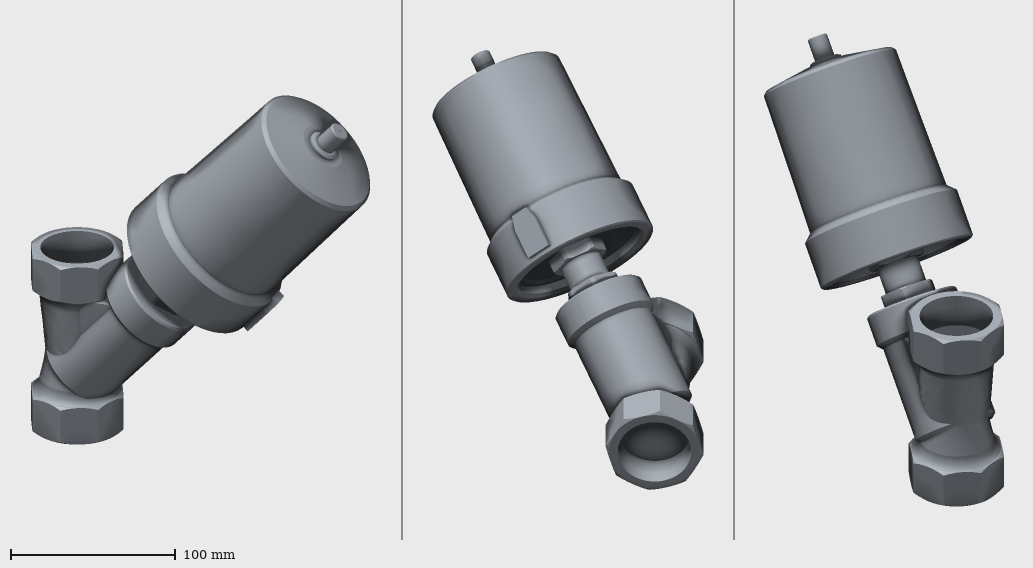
import cadquery as cq
import math


tilt = 42.0
axis_height = 38.3
tilt_rad = math.radians(tilt)
tilted_plane = cq.Plane(
    origin=(0, 0, axis_height),
    xDir=(math.cos(tilt_rad), 0, -math.sin(tilt_rad)),
    normal=(math.sin(tilt_rad), 0, math.cos(tilt_rad)),
)

valve_length = 120.0
port_sides = 8
port_across_corners = 60.0
port_height = 24.8
port_bore_dia = 44.8
port_bore_depth = 21.2
port_flat_radius = port_across_corners / 2 * math.cos(math.pi / port_sides)
port_chamfer_height = 1.7

barrel_end_radius = 22.9
barrel_waist_radius = 19.3
barrel_waist_height = 53.3
barrel_sag = 0.5
shoulder_radius = 22.1
shoulder_shift = shoulder_radius - barrel_waist_radius
flare_radius = 27.1
flare_height = 8.3
flare_sag = 1.2
lower_flare_end = port_height + flare_height
upper_flare_start = valve_length - lower_flare_end

neck_radius = 25.7
neck_start = -0.7
neck_end_chamfer = 2.4
rim_radius = 28.8
rim_cone_start = 60.5
rim_cone_end = 63.5
rim_top = 76.5
web_half_thickness = 21.0
web_reach = 28.5

bonnet_thickness = 6.0
bonnet_chamfer = 1.2
bonnet_top = rim_top + bonnet_thickness
bonnet_hex_top = 91.0

hex_across_flats = 31.7
hex_round_dia = 35.2
hex_chamfer = 1.0

base_radius = 49.0
base_bottom = 107.4
base_shoulder = 137.1
base_top = 142.0
base_edge_chamfer = 1.0
recess_mouth_radius = 42.5
recess_radius = 40.7
recess_mouth_depth = 2.0
recess_depth = 6.7
inner_recess_mouth_radius = 37.0
inner_recess_floor_radius = 34.8
inner_recess_depth = 1.2
recess_floor = base_bottom + recess_depth
inner_recess_floor = recess_floor + inner_recess_depth

pad_bottom = 110.7
pad_bend = 129.7
pad_top = 138.8
pad_half_width = 7.9
pad_tip_half_width = 5.5
pad_face = 52.4

tube_dia = 26.0

cover_bottom_radius = 44.0
cover_top_radius = 42.5
cover_edge_radius = 40.5
cover_edge_bottom = 230.2
cover_edge_top = 232.4
crown_radius = 15.0
crown_height = 236.9
collar_radius = 20.0 / 2
collar_top_radius = 16.0 / 2
collar_shoulder = 238.5
collar_top = 239.5

indicator_dia = 12.4
indicator_top = 253.8
indicator_chamfer = 0.7
indicator_dimple_dia = 1.5
indicator_dimple_depth = 1.2
indicator_seat_depth = 4.8
indicator_seat = crown_height - indicator_seat_depth


def tilted(shape):
    """Carry a shape built around Z onto the inclined actuator axis."""
    return cq.Workplane(obj=shape.val().moved(cq.Location(tilted_plane)))


def disc(radius, bottom, top):
    return cq.Workplane().workplane(offset=bottom).circle(radius).extrude(top - bottom)


def turned(points):
    """Solid of revolution about Z from (radius, height) points."""
    return cq.Workplane("XZ").polyline(points).close().revolve(360, (0, 0), (0, 1))


def port(bottom):
    """Octagonal wrench port with both rims turned down at the corners."""
    prism = (
        cq.Workplane()
        .workplane(offset=bottom)
        .polygon(port_sides, port_across_corners)
        .extrude(port_height)
    )
    rounded = disc(port_across_corners / 2, bottom, bottom + port_height)
    rim_width = port_across_corners / 2 - port_flat_radius
    rounded = rounded.faces("<Z or >Z").chamfer(port_chamfer_height, rim_width)
    return prism.intersect(rounded)


def flare():
    """Concave flare that stands on the face of the lower port."""
    return (
        cq.Workplane("XZ")
        .moveTo(0, port_height)
        .lineTo(flare_radius, port_height)
        .sagittaArc((barrel_end_radius, port_height + flare_height), flare_sag)
        .lineTo(0, port_height + flare_height)
        .close()
        .revolve(360, (0, 0), (0, 1))
    )


def lower_barrel():
    """Stretch that narrows from the lower flare to the waist."""
    return (
        cq.Workplane("XZ")
        .moveTo(0, lower_flare_end)
        .lineTo(barrel_end_radius, lower_flare_end)
        .sagittaArc((barrel_waist_radius, barrel_waist_height), barrel_sag)
        .lineTo(0, barrel_waist_height)
        .close()
        .revolve(360, (0, 0), (0, 1))
    )


def upper_barrel():
    """Skewed cone from the waist, where it leans towards the neck, to the upper flare."""
    return (
        cq.Workplane()
        .workplane(offset=barrel_waist_height)
        .center(shoulder_shift, 0)
        .circle(shoulder_radius)
        .workplane(offset=upper_flare_start - barrel_waist_height)
        .center(-shoulder_shift, 0)
        .circle(barrel_end_radius)
        .loft(ruled=True)
    )


def barrel():
    """Waisted tube with a flare at each end."""
    lower_flare = flare()
    upper_flare = lower_flare.mirror("XY", (0, 0, valve_length / 2))
    return lower_barrel().union(upper_barrel()).union(lower_flare).union(upper_flare)


def neck():
    """Inclined seat tube with a wider rim for the bonnet."""
    return tilted(
        turned(
            [
                (0, neck_start),
                (neck_radius - neck_end_chamfer, neck_start),
                (neck_radius, neck_start + neck_end_chamfer),
                (neck_radius, rim_cone_start),
                (rim_radius, rim_cone_end),
                (rim_radius, rim_top),
                (0, rim_top),
            ]
        )
    )


def web():
    """Flat-sided fill in the crotch between the barrel and the neck."""
    fill = tilted(
        cq.Workplane("XZ")
        .moveTo(0, neck_start)
        .lineTo(-web_reach, neck_start)
        .lineTo(-web_reach, rim_cone_start)
        .lineTo(0, rim_cone_start)
        .close()
        .extrude(web_half_thickness, both=True)
    )
    web_length = web_reach * 2
    web_thickness = web_half_thickness * 2
    keep = cq.Workplane().box(
        web_length, web_thickness, valve_length - port_height, centered=(False, True, False)
    )
    return fill.intersect(keep)


def hexagon(bottom, top, chamfered_face, turn):
    """Wrench hexagon with blunted corners and one turned-down face."""
    prism = (
        cq.Workplane()
        .workplane(offset=bottom)
        .polygon(6, hex_across_flats, circumscribed=True)
        .extrude(top - bottom)
        .rotate((0, 0, 0), (0, 0, 1), turn)
    )
    rounded = disc(hex_round_dia / 2, bottom, top).faces(chamfered_face).chamfer(hex_chamfer)
    return prism.intersect(rounded)


def make_valve_body():
    body = barrel().union(port(0)).union(port(valve_length - port_height)).union(neck()).union(web())
    low_bore = disc(port_bore_dia / 2, 0, port_bore_depth)
    high_bore = disc(port_bore_dia / 2, valve_length - port_bore_depth, valve_length)
    return body.cut(low_bore).cut(high_bore)


def make_bonnet():
    plate = disc(rim_radius, rim_top, bonnet_top).faces(">Z").chamfer(bonnet_chamfer)
    return tilted(plate.union(hexagon(bonnet_top, bonnet_hex_top, ">Z", 0)))


def make_tube():
    """Actuator tube with a hexagon head seated in the recess of the base."""
    shank = disc(tube_dia / 2, bonnet_hex_top, base_bottom)
    return tilted(shank.union(hexagon(base_bottom, inner_recess_floor, "<Z", 30)))


def make_base():
    ring = turned(
        [
            (0, inner_recess_floor),
            (inner_recess_floor_radius, inner_recess_floor),
            (inner_recess_mouth_radius, recess_floor),
            (recess_radius, recess_floor),
            (recess_radius, base_bottom + recess_mouth_depth),
            (recess_mouth_radius, base_bottom),
            (base_radius - base_edge_chamfer, base_bottom),
            (base_radius, base_bottom + base_edge_chamfer),
            (base_radius, base_shoulder),
            (cover_bottom_radius, base_top),
            (0, base_top),
        ]
    )
    pad_outline = [
        (pad_bottom, -pad_half_width),
        (pad_bend, -pad_half_width),
        (pad_top, -pad_tip_half_width),
        (pad_top, pad_tip_half_width),
        (pad_bend, pad_half_width),
        (pad_bottom, pad_half_width),
    ]
    pad_plane = cq.Plane(origin=(cover_bottom_radius, 0, 0), xDir=(0, 0, 1), normal=(1, 0, 0))
    pad = cq.Workplane(pad_plane).polyline(pad_outline).close().extrude(pad_face - cover_bottom_radius)
    return tilted(ring.union(pad))


def make_cover():
    shell = turned(
        [
            (0, base_top),
            (cover_bottom_radius, base_top),
            (cover_top_radius, cover_edge_bottom),
            (cover_edge_radius, cover_edge_top),
            (crown_radius, crown_height),
            (collar_radius, crown_height),
            (collar_radius, collar_shoulder),
            (collar_top_radius, collar_top),
            (0, collar_top),
        ]
    )
    return tilted(shell.cut(disc(indicator_dia / 2, indicator_seat, collar_top)))


def make_indicator():
    rod = disc(indicator_dia / 2, indicator_seat, indicator_top).faces(">Z").chamfer(indicator_chamfer)
    dimple = disc(indicator_dimple_dia / 2, indicator_top - indicator_dimple_depth, indicator_top)
    return tilted(rod.cut(dimple))


valve_body = make_valve_body()
bonnet = make_bonnet()
tube = make_tube()
base = make_base()
cover = make_cover()
indicator = make_indicator()

result = cq.Compound.makeCompound(
    [valve_body.val(), bonnet.val(), tube.val(), base.val(), cover.val(), indicator.val()]
)